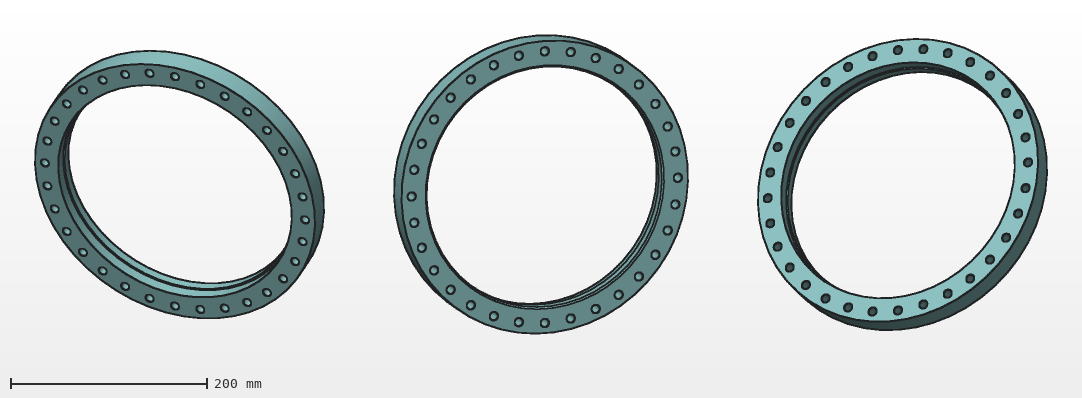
import cadquery as cq
outer_diameter = 306.0
thickness = 26.0
rim_chamfer = 0.3

bore_diameter = 251.0
bore_chamfer = 1.8
recess_diameter = 254.5
recess_depth = 13.5
recess_chamfer = 0.3

bolt_count = 32
bolt_circle_diameter = 284.0
bolt_hole_diameter = 8.3
bolt_hole_chamfer = 0.45

outer_radius = outer_diameter / 2
bore_radius = bore_diameter / 2
recess_radius = recess_diameter / 2
bolt_circle_radius = bolt_circle_diameter / 2
bolt_hole_radius = bolt_hole_diameter / 2
front_y = -thickness / 2
back_y = thickness / 2
step_y = front_y + recess_depth


def ring():
    """Stepped ring with chamfered rims, revolved about the Y axis."""
    cross_section = (
        cq.Workplane("YZ")
        .moveTo(front_y + recess_chamfer, recess_radius)
        .lineTo(front_y, recess_radius + recess_chamfer)
        .lineTo(front_y, outer_radius - rim_chamfer)
        .lineTo(front_y + rim_chamfer, outer_radius)
        .lineTo(back_y - rim_chamfer, outer_radius)
        .lineTo(back_y, outer_radius - rim_chamfer)
        .lineTo(back_y, bore_radius + bore_chamfer)
        .lineTo(back_y - bore_chamfer, bore_radius)
        .lineTo(step_y, bore_radius)
        .lineTo(step_y, recess_radius)
        .close()
    )
    return cross_section.revolve(360, (0, 0, 0), (1, 0, 0))


def bolt_hole_cutter():
    """One bolt hole on the +X side, flared by a chamfer at each face."""
    flared_radius = bolt_hole_radius + bolt_hole_chamfer
    half_section = (
        cq.Workplane("XY")
        .moveTo(0, front_y)
        .lineTo(flared_radius, front_y)
        .lineTo(bolt_hole_radius, front_y + bolt_hole_chamfer)
        .lineTo(bolt_hole_radius, back_y - bolt_hole_chamfer)
        .lineTo(flared_radius, back_y)
        .lineTo(0, back_y)
        .close()
    )
    cutter = half_section.revolve(360, (0, 0, 0), (0, 1, 0))
    return cutter.translate((bolt_circle_radius, 0, 0))


flange = ring()
hole = bolt_hole_cutter()
for index in range(bolt_count):
    angle = 360 / bolt_count * index
    flange = flange.cut(hole.rotate((0, 0, 0), (0, 1, 0), angle))

result = flange